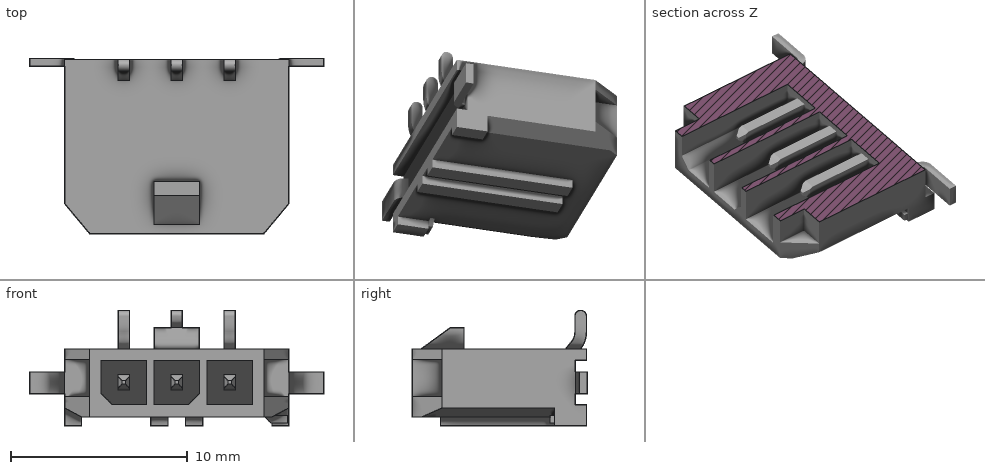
import cadquery as cq
import math


HOUSING_WIDTH = 12.69
HOUSING_DEPTH = 9.87
FOOT_HEIGHT = 0.5
HOUSING_TOP = 4.36
CORNER_WIDTH = 1.42
CORNER_DEPTH = 1.7
POCKET_BOTTOM = 1.66
POCKET_TOP = 3.75
BEVEL_WIDTH = 0.97
BEVEL_HEIGHT = 0.52
BEVEL_END = 8.06
NOTCH_BOTTOM = 1.2
NOTCH_TOP = 3.71
NOTCH_FRONT = 9.24
HALF_WIDTH = HOUSING_WIDTH / 2

INNER_FOOT_WIDTH = 1.0
INNER_FOOT_OFFSET = 0.98
INNER_FOOT_FRONT = 1.6

RIB_LEFT = 5.0
RIB_RIGHT = 6.28
RIB_BOTTOM = 0.15
RIB_TOP = 0.58
RIB_DEPTH = 0.25

PITCH = 3.0
CAVITY_WIDTH = 2.56
CAVITY_BOTTOM = 1.2
CAVITY_TOP = 3.71
CAVITY_DEPTH = 7.5
KEY_CHAMFER = 0.63

LATCH_WIDTH = 2.56
LATCH_TOP = 5.56
LATCH_FRONT = 0.52
LATCH_CREST = 2.16
LATCH_BACK = 2.95

PIN_WIDTH = 0.65
PIN_HEIGHT = 0.87
PIN_CENTER_Z = 2.46
PIN_TIP_Y = 3.0
TIP_FLAT = 0.2
TIP_TAPER_LENGTH = 0.33
TIP_RAMP_LENGTH = 0.2
TIP_RAMP_DROP = 0.1

TAIL_THICKNESS = 0.67
TAIL_TOP = 6.55
BEND_START_Z = 5.31
BEND_INNER_RADIUS = 0.88
BEND_ANGLE = 40.0
TAIL_SLOPE_LENGTH = 0.83

TAB_SPAN = 16.65
TAB_THICKNESS = 0.45
TAB_BACK = 9.92
TAB_BOTTOM = 1.81
TAB_TOP = 3.06
TAB_BEND_X = 6.0
TAB_BEND_RADIUS = 0.17
TAB_ROOT_Y = 8.32


def block(x0, x1, y0, y1, z0, z1):
    """Box between opposite corners."""
    return cq.Workplane("XY").box(x1 - x0, y1 - y0, z1 - z0, centered=False).translate((x0, y0, z0))


def extrude_along_y(points, y0, y1):
    """Closed XZ outline extruded from y0 to y1."""
    return cq.Workplane("XZ", origin=(0, y0, 0)).polyline(points).close().extrude(y0 - y1)


def both_sides(shape):
    """A shape together with its mirror image across the YZ plane."""
    return shape.union(shape.mirror("YZ"))


def make_shell():
    front_half_width = HALF_WIDTH - CORNER_WIDTH
    outline = [
        (-front_half_width, 0),
        (front_half_width, 0),
        (HALF_WIDTH, CORNER_DEPTH),
        (HALF_WIDTH, HOUSING_DEPTH),
        (-HALF_WIDTH, HOUSING_DEPTH),
        (-HALF_WIDTH, CORNER_DEPTH),
    ]
    shell = (
        cq.Workplane("XY", origin=(0, 0, FOOT_HEIGHT))
        .polyline(outline)
        .close()
        .extrude(HOUSING_TOP - FOOT_HEIGHT)
    )
    bevel = extrude_along_y(
        [
            (HALF_WIDTH - BEVEL_WIDTH, FOOT_HEIGHT),
            (HALF_WIDTH, FOOT_HEIGHT),
            (HALF_WIDTH, FOOT_HEIGHT + BEVEL_HEIGHT),
        ],
        0,
        BEVEL_END,
    )
    pocket = block(front_half_width, HALF_WIDTH, 0, CORNER_DEPTH, POCKET_BOTTOM, POCKET_TOP)
    return shell.cut(both_sides(bevel.union(pocket)))


def make_feet():
    inner = block(
        INNER_FOOT_OFFSET - INNER_FOOT_WIDTH / 2,
        INNER_FOOT_OFFSET + INNER_FOOT_WIDTH / 2,
        INNER_FOOT_FRONT,
        HOUSING_DEPTH,
        0,
        FOOT_HEIGHT,
    )
    rear = block(HALF_WIDTH - BEVEL_WIDTH, HALF_WIDTH, BEVEL_END, HOUSING_DEPTH, 0, FOOT_HEIGHT)
    return both_sides(inner).union(both_sides(rear))


def make_rib():
    slant = FOOT_HEIGHT - RIB_BOTTOM
    outline = [
        (RIB_LEFT, RIB_TOP),
        (RIB_LEFT, FOOT_HEIGHT),
        (RIB_LEFT + slant, RIB_BOTTOM),
        (RIB_RIGHT, RIB_BOTTOM),
        (RIB_RIGHT, RIB_TOP),
    ]
    return extrude_along_y(outline, BEVEL_END - RIB_DEPTH, BEVEL_END)


def make_rear_notch():
    return block(-HALF_WIDTH, HALF_WIDTH, NOTCH_FRONT, HOUSING_DEPTH, NOTCH_BOTTOM, NOTCH_TOP)


def make_cavity(x, key_side):
    """Pin cavity; key_side is -1 or +1 for a chamfered lower corner, 0 for none."""
    half = CAVITY_WIDTH / 2
    cavity = block(x - half, x + half, 0, CAVITY_DEPTH, CAVITY_BOTTOM, CAVITY_TOP)
    if key_side == 0:
        return cavity
    corner_x = x + key_side * half
    key = extrude_along_y(
        [
            (corner_x, CAVITY_BOTTOM),
            (corner_x - key_side * KEY_CHAMFER, CAVITY_BOTTOM),
            (corner_x, CAVITY_BOTTOM + KEY_CHAMFER),
        ],
        0,
        CAVITY_DEPTH,
    )
    return cavity.cut(key)


def make_latch():
    outline = [
        (LATCH_FRONT, HOUSING_TOP),
        (LATCH_CREST, LATCH_TOP),
        (LATCH_BACK, LATCH_TOP),
        (LATCH_BACK, HOUSING_TOP),
    ]
    return cq.Workplane("YZ").polyline(outline).close().extrude(LATCH_WIDTH / 2, both=True)


def make_pin_blade():
    """Straight pin with a two-stage tip, running back to the end of the cavity."""
    ramp_end = PIN_TIP_Y + TIP_TAPER_LENGTH + TIP_RAMP_LENGTH
    ramp_height = PIN_HEIGHT - 2 * TIP_RAMP_DROP

    def cross_section(y, width, height):
        return cq.Workplane("XZ", origin=(0, y, PIN_CENTER_Z)).rect(width, height)

    shank = cross_section(ramp_end, PIN_WIDTH, PIN_HEIGHT).extrude(ramp_end - CAVITY_DEPTH)
    ramp = (
        cross_section(ramp_end, PIN_WIDTH, PIN_HEIGHT)
        .workplane(offset=TIP_RAMP_LENGTH)
        .rect(PIN_WIDTH, ramp_height)
        .loft(ruled=True)
    )
    taper = (
        cross_section(PIN_TIP_Y + TIP_TAPER_LENGTH, PIN_WIDTH, ramp_height)
        .workplane(offset=TIP_TAPER_LENGTH)
        .rect(TIP_FLAT, TIP_FLAT)
        .loft(ruled=True)
    )
    return shank.union(ramp).union(taper)


def make_pin_tail():
    """Upright round-ended tail that bends forward and slopes down into the housing."""
    back = HOUSING_DEPTH
    front = back - TAIL_THICKNESS
    round_z = TAIL_TOP - TAIL_THICKNESS / 2
    center_y = front - BEND_INNER_RADIUS
    angle = math.radians(BEND_ANGLE)

    def bend_point(radius, turn):
        return (center_y + radius * math.cos(turn), BEND_START_Z - radius * math.sin(turn))

    def slope_end(start):
        return (
            start[0] - TAIL_SLOPE_LENGTH * math.sin(angle),
            start[1] - TAIL_SLOPE_LENGTH * math.cos(angle),
        )

    outer_radius = BEND_INNER_RADIUS + TAIL_THICKNESS
    inner_bend_end = bend_point(BEND_INNER_RADIUS, angle)
    outer_bend_end = bend_point(outer_radius, angle)
    profile = (
        cq.Workplane("YZ")
        .moveTo(back, BEND_START_Z)
        .lineTo(back, round_z)
        .threePointArc((back - TAIL_THICKNESS / 2, TAIL_TOP), (front, round_z))
        .lineTo(front, BEND_START_Z)
        .threePointArc(bend_point(BEND_INNER_RADIUS, angle / 2), inner_bend_end)
        .lineTo(*slope_end(inner_bend_end))
        .lineTo(*slope_end(outer_bend_end))
        .lineTo(*outer_bend_end)
        .threePointArc(bend_point(outer_radius, angle / 2), (back, BEND_START_Z))
        .close()
    )
    return profile.extrude(PIN_WIDTH / 2, both=True)


def make_solder_tab():
    """Strip on the right side, bent forward into the rear of the housing."""
    outer_radius = TAB_BEND_RADIUS + TAB_THICKNESS
    center_y = TAB_BACK - outer_radius
    diagonal = math.sqrt(0.5)
    profile = (
        cq.Workplane("XY", origin=(0, 0, TAB_BOTTOM))
        .moveTo(TAB_SPAN / 2, TAB_BACK)
        .lineTo(TAB_BEND_X, TAB_BACK)
        .threePointArc(
            (TAB_BEND_X - outer_radius * diagonal, center_y + outer_radius * diagonal),
            (TAB_BEND_X - outer_radius, center_y),
        )
        .lineTo(TAB_BEND_X - outer_radius, TAB_ROOT_Y)
        .lineTo(TAB_BEND_X - TAB_BEND_RADIUS, TAB_ROOT_Y)
        .lineTo(TAB_BEND_X - TAB_BEND_RADIUS, center_y)
        .threePointArc(
            (TAB_BEND_X - TAB_BEND_RADIUS * diagonal, center_y + TAB_BEND_RADIUS * diagonal),
            (TAB_BEND_X, TAB_BACK - TAB_THICKNESS),
        )
        .lineTo(TAB_SPAN / 2, TAB_BACK - TAB_THICKNESS)
        .close()
    )
    return profile.extrude(TAB_TOP - TAB_BOTTOM)


result = make_shell().union(make_feet()).union(make_rib()).cut(make_rear_notch()).union(make_latch())

for position, key_side in ((-1, -1), (0, 1), (1, 0)):
    x = position * PITCH
    result = result.cut(make_cavity(x, key_side))
    result = result.union(make_pin_blade().translate((x, 0, 0)))
    result = result.union(make_pin_tail().translate((x, 0, 0)))

result = result.union(both_sides(make_solder_tab()))